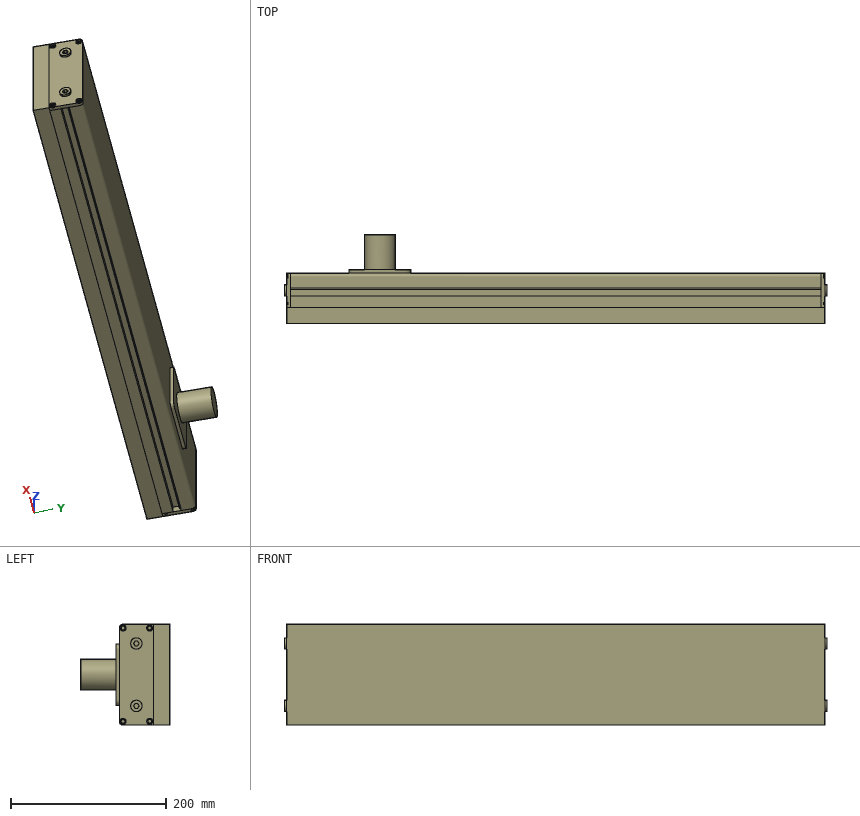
import cadquery as cq


overall_length = 700.0
height = 130.0

plug_diameter = 15.0
plug_height = 3.0
plug_spacing = 80.5
socket_across_corners = 7.0
socket_depth = 5.5

body_length = overall_length - 2 * plug_height
pad_thickness = 21.0

body_back = 65.0
body_depth = body_back - pad_thickness
body_middle = pad_thickness + body_depth / 2
plate_thickness = 5.0
rail_length = body_length - 2 * plate_thickness
back_edge_radius = 5.0

slot_front = 36.0
slot_width = 8.5
slot_depth = 10.0
step_width = 2.0
step_depth = 4.0

recess_diameter = 8.0
recess_inset = 5.0
recess_depth = 2.0
screw_socket_diameter = 5.0
screw_socket_depth = 3.5

port_from_left_end = 120.5
port_x = -body_length / 2 + port_from_left_end
flange_size = 80.0
flange_corner_radius = 8.0
flange_thickness = 4.55
tube_diameter = 40.0
tube_end = 115.0


def profile_block(length, x_start):
    """A stretch of the rail's outline: flat towards the pad, rounded along the two back edges."""
    return (
        cq.Workplane("YZ", origin=(x_start, body_middle, 0))
        .rect(body_depth, height)
        .extrude(length)
        .edges("|X and >Y")
        .fillet(back_edge_radius)
    )


def make_foam_pad():
    return cq.Workplane("XY").box(body_length, pad_thickness, height, centered=(True, False, True))


def make_rail():
    rail = profile_block(rail_length, -rail_length / 2)
    for side in (-1, 1):
        for width, depth in ((slot_width, slot_depth), (slot_width + step_width, step_depth)):
            groove = cq.Workplane("XY").box(rail_length, width, 2 * depth, centered=(True, False, True))
            rail = rail.cut(groove.translate((0, slot_front, side * height / 2)))
    return rail


def make_left_end_plate():
    outer_x = -body_length / 2
    plate = profile_block(plate_thickness, outer_x)

    plug_points = [(body_middle, -plug_spacing / 2), (body_middle, plug_spacing / 2)]
    outer_face = cq.Workplane("YZ", origin=(outer_x, 0, 0))
    plate = plate.union(outer_face.pushPoints(plug_points).circle(plug_diameter / 2).extrude(-plug_height))
    plug_face = cq.Workplane("YZ", origin=(outer_x - plug_height, 0, 0))
    plate = plate.cut(plug_face.pushPoints(plug_points).polygon(6, socket_across_corners).extrude(socket_depth))

    recess_z = height / 2 - recess_inset
    recess_points = [
        (y, z)
        for y in (pad_thickness + recess_inset, body_back - recess_inset)
        for z in (-recess_z, recess_z)
    ]
    corners = outer_face.pushPoints(recess_points)
    plate = plate.cut(corners.circle(recess_diameter / 2).extrude(recess_depth))
    return plate.cut(corners.circle(screw_socket_diameter / 2).extrude(screw_socket_depth))


def make_vacuum_port():
    flange = (
        cq.Workplane("XZ", origin=(port_x, body_back, 0))
        .rect(flange_size, flange_size)
        .extrude(-flange_thickness)
        .edges("|Y")
        .fillet(flange_corner_radius)
    )
    tube = (
        cq.Workplane("XZ", origin=(port_x, body_back + flange_thickness, 0))
        .circle(tube_diameter / 2)
        .extrude(-(tube_end - body_back - flange_thickness))
    )
    return flange.union(tube)


foam_pad = make_foam_pad()
rail = make_rail()
left_end_plate = make_left_end_plate()
right_end_plate = left_end_plate.mirror("YZ")
vacuum_port = make_vacuum_port()

result = cq.Compound.makeCompound(
    [foam_pad.val(), rail.val(), left_end_plate.val(), right_end_plate.val(), vacuum_port.val()]
)